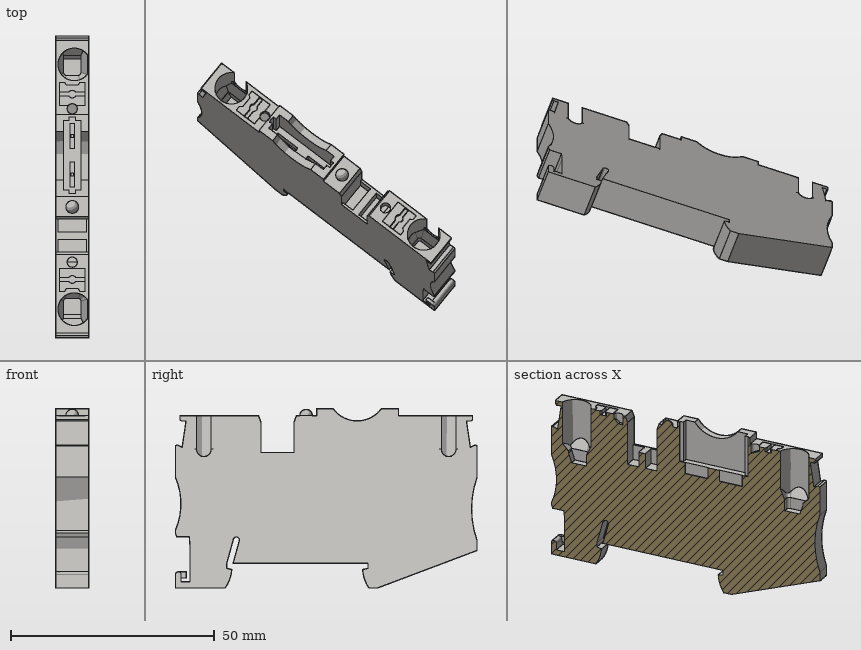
import cadquery as cq
import math

WIDTH = 8.15
LENGTH = 74.12
HEIGHT = 44.05
HALF_WIDTH = WIDTH / 2
HALF_LENGTH = LENGTH / 2

DECK_Z = 42.3
BLOCK_SOUTH, BLOCK_NORTH = -2.35, 17.75
DISH_Y, DISH_RADIUS = 7.6, 7.35
DISH_DEPTH = 3.0
DISH_HALF_CHORD = math.sqrt(DISH_RADIUS**2 - (DISH_RADIUS - DISH_DEPTH) ** 2)

SLOT_SOUTH, SLOT_NORTH = -16.0, -7.95
SLOT_FLOOR_Z = 33.3
SLOT_CHAMFER_WIDTH = 0.6
SLOT_CHAMFER_HEIGHT = 1.6

LIP_Y = HALF_LENGTH - 1.12
LIP_BOTTOM_Z = 41.0
LIP_CHAMFER = 0.35
NECK_TOP_Y, NECK_BOTTOM_Y = 34.45, 35.4
NECK_BOTTOM_Z = 34.6
SHOULDER_Z = 35.15
SHOULDER_CHAMFER_WIDTH, SHOULDER_CHAMFER_HEIGHT = 0.5, 0.25
FLANK_TOP_Z = 27.2
FLANK_DEPTH = 1.35
NORTH_FLANK_BOTTOM_Z, SOUTH_FLANK_BOTTOM_Z = 11.65, 14.15
NORTH_CORNER_Z = 9.2

RAIL_Z = 6.05
RAIL_NORTH = 10.2
NORTH_FOOT_START, NORTH_FOOT_END = 12.65, 10.45
CLAW_TIP_Z = 4.55
CLAW_UNDERCUT_Z = 4.85
CLAW_RADIUS = 9.0
NORTH_CLAW_TIP = 8.9
SOUTH_CLAW_TIP, SOUTH_CLAW_ROOT, SOUTH_FOOT_START = -23.15, -24.4, -24.8
SPRING_SLOT_LEAN = 1.57
SPRING_SLOT_WIDTH = 1.5
SPRING_SLOT_NORTH = -22.9
SPRING_SLOT_TOP_Z = 12.5

RECESS_TOP_Z = 12.55
RECESS_TAPER_Z = 9.85
RECESS_TOP_Y, RECESS_Y = -33.65, -33.45
HOOK_FLOOR_Z, HOOK_LIP_Z, HOOK_TOP_Z = 1.55, 2.45, 4.0
HOOK_RADIUS = 0.73
HOOK_LIP_Y, HOOK_INNER_Y = -34.35, 2 * HOOK_RADIUS - HALF_LENGTH
HOOK_LIP_THICKNESS = 0.8
CORNER_CHAMFER_WIDTH, CORNER_CHAMFER_HEIGHT = 0.35, 0.9

ENTRY_X, ENTRY_Y, ENTRY_RADIUS = 0.5, 30.05, 4.0
ENTRY_DEPTH = 10.0
ENTRY_WALL_X = 3.69
FUNNEL_DEPTH = 3.0
FUNNEL_TOP_INNER, FUNNEL_TOP_OUTER = 4.05, 5.1
FUNNEL_TOP_CORNER = 1.6
WELL_HALF_WIDTH = 2.13
WELL_INNER, WELL_OUTER = 2.69, 2.24
WELL_CORNER = 0.7
WELL_DEPTH = 3.0
WELL_RAMP_RUN, WELL_RAMP_RISE = 0.9, 2.5

BUTTON_INNER_Y, BUTTON_OUTER_Y = 20.0, 25.65
BUTTON_HALF_WIDTH = 3.1
BUTTON_RECESS = 0.1
BUTTON_NOTCH = 0.67
BUTTON_NOTCH_OUTER_HALF, BUTTON_NOTCH_INNER_HALF = 1.9, 1.45
GROOVE_Y, GROOVE_WIDTH, GROOVE_DEPTH = 22.75, 1.0, 1.0
GROOVE_EYE_RADIUS = 0.95

TEST_HOLE_RADIUS = 1.25
TEST_HOLE_DEPTH = 2.5
NORTH_TEST_Y, SOUTH_TEST_Y = 19.15, -18.5
DOME_Y, DOME_RADIUS = -4.95, 1.57

SHAFT_HALF_WIDTH = 2.13
SHAFT_SOUTH, SHAFT_NORTH = -0.75, 16.25
SHAFT_KEY_HALF_WIDTH, SHAFT_KEY_LENGTH = 0.76, 0.9
SHAFT_FLOOR_Z = 33.3
CONTACT_WIDTH, CONTACT_LENGTH, CONTACT_DEPTH = 1.1, 6.2, 3.0
CONTACT_YS = (3.0, 12.45)
PIN_WIDTH, PIN_LENGTH, PIN_DEPTH = 0.5, 0.8, 1.0

FLOOR_POCKET_HALF_WIDTH, FLOOR_POCKET_LENGTH, FLOOR_POCKET_DEPTH = 3.47, 3.1, 4.0


def box(x0, x1, y0, y1, z0, z1):
    """Box between two opposite corners."""
    return cq.Workplane("XY").box(x1 - x0, y1 - y0, z1 - z0, centered=False).translate((x0, y0, z0))


def upright_cylinder(x, y, radius, z0, z1):
    return cq.Workplane("XY", origin=(x, y, z0)).circle(radius).extrude(z1 - z0)


def extrude_across(outline):
    """Extrude an outline drawn in (Y, Z) over the whole width."""
    return outline.close().extrude(WIDTH).translate((-HALF_WIDTH, 0, 0))


def housing():
    """Side outline of the terminal, drawn from the north end of the deck."""
    flank_y = HALF_LENGTH - FLANK_DEPTH
    outline = (
        cq.Workplane("YZ")
        .moveTo(LIP_Y, DECK_Z)
        .lineTo(BLOCK_NORTH, DECK_Z)
        .lineTo(BLOCK_NORTH, HEIGHT)
        .lineTo(DISH_Y + DISH_HALF_CHORD, HEIGHT)
        .threePointArc((DISH_Y, HEIGHT - DISH_DEPTH), (DISH_Y - DISH_HALF_CHORD, HEIGHT))
        .lineTo(BLOCK_SOUTH, HEIGHT)
        .lineTo(BLOCK_SOUTH, DECK_Z)
        .lineTo(SLOT_NORTH + SLOT_CHAMFER_WIDTH, DECK_Z)
        .lineTo(SLOT_NORTH, DECK_Z - SLOT_CHAMFER_HEIGHT)
        .lineTo(SLOT_NORTH, SLOT_FLOOR_Z)
        .lineTo(SLOT_SOUTH, SLOT_FLOOR_Z)
        .lineTo(SLOT_SOUTH, DECK_Z - SLOT_CHAMFER_HEIGHT)
        .lineTo(SLOT_SOUTH - SLOT_CHAMFER_WIDTH, DECK_Z)
        .lineTo(-LIP_Y, DECK_Z)
        .lineTo(-LIP_Y, LIP_BOTTOM_Z + LIP_CHAMFER)
        .lineTo(LIP_CHAMFER - LIP_Y, LIP_BOTTOM_Z)
        .lineTo(-NECK_TOP_Y, LIP_BOTTOM_Z)
        .lineTo(-NECK_BOTTOM_Y, NECK_BOTTOM_Z)
        .lineTo(SHOULDER_CHAMFER_WIDTH - HALF_LENGTH, SHOULDER_Z)
        .lineTo(-HALF_LENGTH, SHOULDER_Z - SHOULDER_CHAMFER_HEIGHT)
        .lineTo(-HALF_LENGTH, FLANK_TOP_Z)
        .threePointArc(
            (-flank_y, (FLANK_TOP_Z + SOUTH_FLANK_BOTTOM_Z) / 2), (-HALF_LENGTH, SOUTH_FLANK_BOTTOM_Z)
        )
        .lineTo(-HALF_LENGTH, RECESS_TOP_Z + CORNER_CHAMFER_HEIGHT)
        .lineTo(-HALF_LENGTH + CORNER_CHAMFER_WIDTH, RECESS_TOP_Z)
        .lineTo(RECESS_TOP_Y, RECESS_TOP_Z)
        .lineTo(RECESS_Y, RECESS_TAPER_Z)
        .lineTo(RECESS_Y, HOOK_FLOOR_Z)
        .lineTo(HOOK_INNER_Y, HOOK_FLOOR_Z)
        .lineTo(HOOK_INNER_Y, HOOK_LIP_Z)
        .lineTo(HOOK_LIP_Y, HOOK_LIP_Z)
        .lineTo(HOOK_LIP_Y, HOOK_TOP_Z)
        .lineTo(-HALF_LENGTH + HOOK_RADIUS, HOOK_TOP_Z)
        .radiusArc((-HALF_LENGTH, HOOK_TOP_Z - HOOK_RADIUS), -HOOK_RADIUS)
        .lineTo(-HALF_LENGTH, 0)
        .lineTo(SOUTH_FOOT_START, 0)
        .radiusArc((SOUTH_CLAW_TIP, CLAW_TIP_Z), -CLAW_RADIUS)
        .lineTo(SOUTH_CLAW_ROOT, CLAW_UNDERCUT_Z)
        .lineTo(SPRING_SLOT_NORTH - SPRING_SLOT_WIDTH, RAIL_Z)
        .lineTo(SPRING_SLOT_NORTH, RAIL_Z)
        .lineTo(RAIL_NORTH, RAIL_Z)
        .lineTo(RAIL_NORTH, CLAW_UNDERCUT_Z)
        .lineTo(NORTH_CLAW_TIP, CLAW_TIP_Z)
        .radiusArc((NORTH_FOOT_END, 0), -CLAW_RADIUS)
        .lineTo(NORTH_FOOT_START, 0)
        .lineTo(HALF_LENGTH, NORTH_CORNER_Z)
        .lineTo(HALF_LENGTH, NORTH_FLANK_BOTTOM_Z)
        .threePointArc((flank_y, (FLANK_TOP_Z + NORTH_FLANK_BOTTOM_Z) / 2), (HALF_LENGTH, FLANK_TOP_Z))
        .lineTo(HALF_LENGTH, SHOULDER_Z - SHOULDER_CHAMFER_HEIGHT)
        .lineTo(HALF_LENGTH - SHOULDER_CHAMFER_WIDTH, SHOULDER_Z)
        .lineTo(NECK_BOTTOM_Y, NECK_BOTTOM_Z)
        .lineTo(NECK_TOP_Y, LIP_BOTTOM_Z)
        .lineTo(LIP_Y - LIP_CHAMFER, LIP_BOTTOM_Z)
        .lineTo(LIP_Y, LIP_BOTTOM_Z + LIP_CHAMFER)
    )
    return extrude_across(outline)


def spring_slot():
    """Leaning slot with a round top that lets the south claw flex."""
    rise = SPRING_SLOT_TOP_Z - SPRING_SLOT_WIDTH / 2 - RAIL_Z
    top_north = SPRING_SLOT_NORTH + SPRING_SLOT_LEAN
    top_south = top_north - SPRING_SLOT_WIDTH
    outline = (
        cq.Workplane("YZ")
        .moveTo(SPRING_SLOT_NORTH, RAIL_Z)
        .lineTo(top_north, RAIL_Z + rise)
        .threePointArc(((top_north + top_south) / 2, SPRING_SLOT_TOP_Z), (top_south, RAIL_Z + rise))
        .lineTo(SPRING_SLOT_NORTH - SPRING_SLOT_WIDTH, RAIL_Z)
    )
    return extrude_across(outline)


def hook_relief():
    """Space beside the hook bar: the lip stays only at the -X side, the bar behind it gets a round top."""
    outline = (
        cq.Workplane("YZ")
        .moveTo(HOOK_LIP_Y, HOOK_LIP_Z)
        .lineTo(HOOK_LIP_Y, HOOK_TOP_Z)
        .lineTo(HOOK_INNER_Y - HOOK_RADIUS, HOOK_TOP_Z)
        .radiusArc((HOOK_INNER_Y, HOOK_TOP_Z - HOOK_RADIUS), HOOK_RADIUS)
        .lineTo(HOOK_INNER_Y, HOOK_LIP_Z)
    )
    return extrude_across(outline).translate((HOOK_LIP_THICKNESS, 0, 0))


def funnel_outline(work, half_width, inner, outer, corner):
    """Rectangle whose two corners nearest the middle of the part are rounded."""
    bulge = corner * (1 - math.sqrt(0.5))
    return (
        work.moveTo(half_width, outer)
        .lineTo(-half_width, outer)
        .lineTo(-half_width, corner - inner)
        .threePointArc((bulge - half_width, bulge - inner), (corner - half_width, -inner))
        .lineTo(half_width - corner, -inner)
        .threePointArc((half_width - bulge, bulge - inner), (half_width, corner - inner))
        .close()
    )


def wire_entry():
    """North wire entry: round shaft breaking through the +X wall, funnel and square well."""
    shaft_floor = DECK_Z - ENTRY_DEPTH
    funnel_floor = shaft_floor - FUNNEL_DEPTH
    well_floor = funnel_floor - WELL_DEPTH
    shaft = upright_cylinder(ENTRY_X, ENTRY_Y, ENTRY_RADIUS, shaft_floor, DECK_Z)
    inside = box(-HALF_WIDTH, ENTRY_WALL_X, 0, HALF_LENGTH, 0, HEIGHT)

    window_radius = math.sqrt(ENTRY_RADIUS**2 - (HALF_WIDTH - ENTRY_X) ** 2)
    window_z = shaft_floor + window_radius
    window = box(
        0, WIDTH, ENTRY_Y - ENTRY_RADIUS, ENTRY_Y + ENTRY_RADIUS, window_z, DECK_Z
    ).union(cq.Workplane("YZ").center(ENTRY_Y, window_z).circle(window_radius).extrude(WIDTH))

    well_plan = (WELL_HALF_WIDTH, WELL_INNER, WELL_OUTER, WELL_CORNER)
    funnel_plan = (ENTRY_WALL_X, FUNNEL_TOP_INNER, FUNNEL_TOP_OUTER, FUNNEL_TOP_CORNER)
    funnel = funnel_outline(cq.Workplane("XY", origin=(0, ENTRY_Y, funnel_floor)), *well_plan)
    funnel = funnel_outline(funnel.workplane(offset=FUNNEL_DEPTH), *funnel_plan).loft(ruled=True)
    funnel = funnel.intersect(upright_cylinder(ENTRY_X, ENTRY_Y, ENTRY_RADIUS, funnel_floor, shaft_floor))

    well = funnel_outline(cq.Workplane("XY", origin=(0, ENTRY_Y, well_floor)), *well_plan)
    well = well.extrude(WELL_DEPTH)
    outer_y = ENTRY_Y + WELL_OUTER
    ramp = (
        cq.Workplane("YZ")
        .moveTo(outer_y, well_floor)
        .lineTo(outer_y, well_floor + WELL_RAMP_RISE)
        .lineTo(outer_y - WELL_RAMP_RUN, well_floor)
    )
    well = well.cut(extrude_across(ramp))
    return shaft.intersect(inside.union(window)).union(funnel).union(well)


def release_button():
    """North release button: shallow recess with a notch, and a screwdriver groove with a round eye."""
    recess_z = DECK_Z - BUTTON_RECESS
    recess = (
        cq.Workplane("XY", origin=(0, 0, recess_z))
        .moveTo(-BUTTON_HALF_WIDTH, BUTTON_INNER_Y)
        .lineTo(-BUTTON_HALF_WIDTH, BUTTON_OUTER_Y)
        .lineTo(-BUTTON_NOTCH_OUTER_HALF, BUTTON_OUTER_Y)
        .lineTo(-BUTTON_NOTCH_INNER_HALF, BUTTON_OUTER_Y - BUTTON_NOTCH)
        .lineTo(BUTTON_NOTCH_INNER_HALF, BUTTON_OUTER_Y - BUTTON_NOTCH)
        .lineTo(BUTTON_NOTCH_OUTER_HALF, BUTTON_OUTER_Y)
        .lineTo(BUTTON_HALF_WIDTH, BUTTON_OUTER_Y)
        .lineTo(BUTTON_HALF_WIDTH, BUTTON_INNER_Y)
        .close()
        .extrude(BUTTON_RECESS)
    )
    groove_z = recess_z - GROOVE_DEPTH
    groove = box(
        -BUTTON_HALF_WIDTH,
        BUTTON_HALF_WIDTH,
        GROOVE_Y - GROOVE_WIDTH / 2,
        GROOVE_Y + GROOVE_WIDTH / 2,
        groove_z,
        recess_z,
    )
    eye = upright_cylinder(0, GROOVE_Y, GROOVE_EYE_RADIUS, groove_z, recess_z)
    return recess.union(groove).union(eye)


def test_hole(y, ramp_start, ramp_end):
    """Round hole whose bottom climbs from ramp_start (at full depth) to ramp_end (at half depth)."""
    floor = DECK_Z - TEST_HOLE_DEPTH
    ramp = (
        cq.Workplane("YZ")
        .moveTo(y + ramp_start, floor)
        .lineTo(y + ramp_end, floor)
        .lineTo(y + ramp_end, floor + TEST_HOLE_DEPTH / 2)
    )
    return upright_cylinder(0, y, TEST_HOLE_RADIUS, floor, DECK_Z).cut(extrude_across(ramp))


def bridge_shaft():
    """Keyed shaft in the raised block with two contact slots, each with a pin hole, in its floor."""
    shaft = box(-SHAFT_HALF_WIDTH, SHAFT_HALF_WIDTH, SHAFT_SOUTH, SHAFT_NORTH, SHAFT_FLOOR_Z, HEIGHT)
    key_south = SHAFT_SOUTH - SHAFT_KEY_LENGTH
    key_north = SHAFT_NORTH + SHAFT_KEY_LENGTH
    shaft = shaft.union(
        box(-SHAFT_KEY_HALF_WIDTH, SHAFT_KEY_HALF_WIDTH, key_south, key_north, SHAFT_FLOOR_Z, HEIGHT)
    )
    pin_z = SHAFT_FLOOR_Z - CONTACT_DEPTH - PIN_DEPTH
    for y in CONTACT_YS:
        slot = cq.Workplane("XY", origin=(0, y, SHAFT_FLOOR_Z - CONTACT_DEPTH))
        pin = cq.Workplane("XY", origin=(0, y, pin_z))
        shaft = shaft.union(slot.rect(CONTACT_WIDTH, CONTACT_LENGTH).extrude(CONTACT_DEPTH))
        shaft = shaft.union(pin.rect(PIN_WIDTH, PIN_LENGTH).extrude(PIN_DEPTH))
    return shaft


def floor_pockets():
    """Two pockets in the bridge slot floor, one against each slot wall."""
    pockets = cq.Workplane("XY")
    for y in (SLOT_SOUTH, SLOT_NORTH - FLOOR_POCKET_LENGTH):
        pockets = pockets.union(
            box(
                -FLOOR_POCKET_HALF_WIDTH,
                FLOOR_POCKET_HALF_WIDTH,
                y,
                y + FLOOR_POCKET_LENGTH,
                SLOT_FLOOR_Z - FLOOR_POCKET_DEPTH,
                SLOT_FLOOR_Z,
            )
        )
    return pockets


body = housing().cut(spring_slot()).cut(hook_relief())
for feature in (wire_entry(), release_button()):
    body = body.cut(feature).cut(feature.mirror("XZ"))
body = body.cut(test_hole(NORTH_TEST_Y, -TEST_HOLE_RADIUS, TEST_HOLE_RADIUS))
body = body.cut(test_hole(SOUTH_TEST_Y, 0, -TEST_HOLE_RADIUS))
body = body.cut(bridge_shaft()).cut(floor_pockets())
dome = cq.Workplane("XY").sphere(DOME_RADIUS).translate((0, DOME_Y, DECK_Z))
result = body.union(dome)